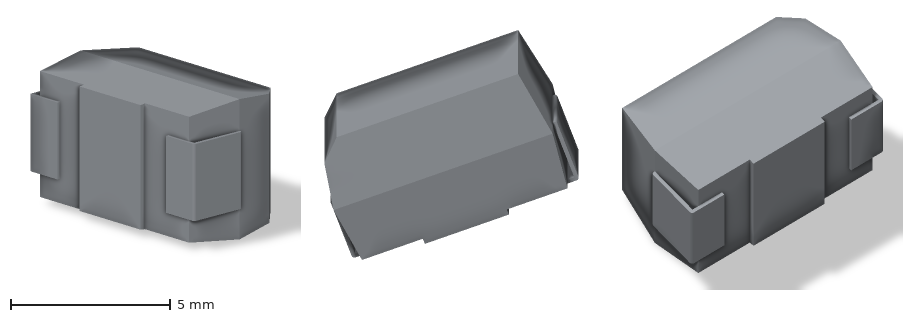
import cadquery as cq

overall_length = 7.6
case_width = 4.6
case_depth = 4.3
parting_y = 2.14
pad_height = 0.19
pad_length = 2.81

strip_thickness = 0.13
terminal_width = 2.52
foot_length = 1.29
foot_thickness = 0.12
bend_radius = 0.09

case_length = overall_length - 2 * strip_thickness
front_end_inset = 0.23
front_side_inset = 0.26
back_end_inset = 0.36
back_side_inset = 0.26
corner_chamfer = 0.65


def tapered_block(y_start, length_start, width_start, y_end, length_end, width_end):
    """Rectangular frustum between two planes normal to Y."""
    return (
        cq.Workplane("XZ", origin=(0, y_start, 0))
        .rect(length_start, width_start)
        .workplane(offset=y_start - y_end)
        .rect(length_end, width_end)
        .loft(ruled=True)
    )


def make_front_case():
    """Front half of the case, relieved at both ends to leave the standoff pad."""
    end_slope = front_end_inset / (parting_y - pad_height)
    pad_end_inset = end_slope * parting_y
    block = tapered_block(
        parting_y, case_length, case_width,
        0, case_length - 2 * pad_end_inset, case_width - 2 * front_side_inset,
    )
    relief_length = (case_length - pad_length) / 2
    for side in (-1, 1):
        relief = cq.Workplane("XY").box(
            relief_length, pad_height, case_width
        ).translate((side * (pad_length + relief_length) / 2, pad_height / 2, 0))
        block = block.cut(relief)
    return block


def make_back_case():
    """Back half of the case with the polarity chamfer."""
    back_length = case_length - 2 * back_end_inset
    block = tapered_block(
        parting_y, case_length, case_width,
        case_depth, back_length, case_width - 2 * back_side_inset,
    )
    end_slope = back_end_inset / (case_depth - parting_y)
    chamfer_x = case_length / 2 - back_end_inset + end_slope * corner_chamfer
    chamfer_y = case_depth - corner_chamfer
    corner = (
        cq.Workplane("XY")
        .moveTo(chamfer_x, chamfer_y)
        .lineTo(chamfer_x, case_depth)
        .lineTo(chamfer_x - corner_chamfer, case_depth)
        .close()
        .extrude(case_width / 2, both=True)
    )
    return block.cut(corner)


def make_terminal(side):
    """L-shaped strip at the end given by side (-1 or +1), its outer corners rounded."""
    outer_x = side * overall_length / 2
    inner_x = outer_x - side * strip_thickness
    foot_x = outer_x - side * foot_length
    foot_front = pad_height - foot_thickness
    return (
        cq.Workplane("XY")
        .moveTo(outer_x, foot_front)
        .lineTo(outer_x, parting_y)
        .lineTo(inner_x, parting_y)
        .lineTo(inner_x, pad_height)
        .lineTo(foot_x, pad_height)
        .lineTo(foot_x, foot_front)
        .close()
        .extrude(terminal_width / 2, both=True)
        .faces("<X" if side < 0 else ">X")
        .edges("|Z")
        .fillet(bend_radius)
    )


front_case = make_front_case()
back_case = make_back_case()
terminals = [make_terminal(side) for side in (-1, 1)]

result = cq.Compound.makeCompound(
    [front_case.val(), back_case.val(), *[terminal.val() for terminal in terminals]]
)